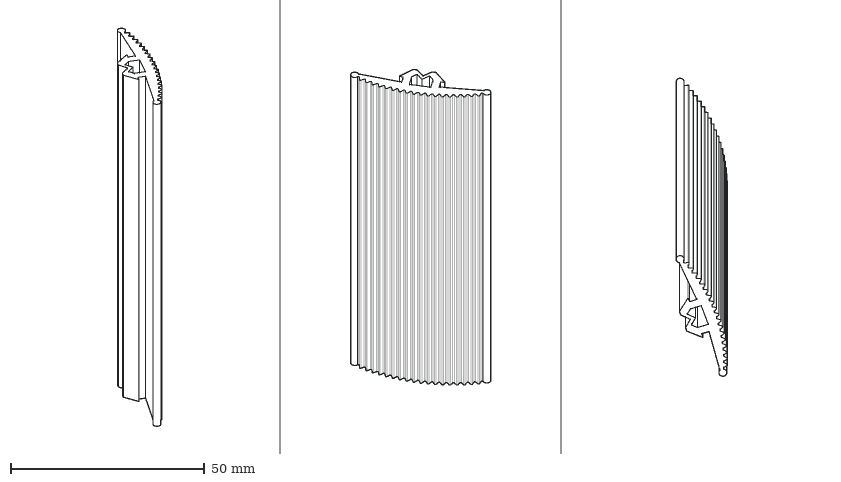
import cadquery as cq
import math

LENGTH = 100.0
WIDTH = 37.0
HEIGHT = 9.51

BEAD_RADIUS = 1.05
BEAD_Y = 5.06

CROWN_RADIUS = 48.2
TEETH_PER_SIDE = 9
TOOTH_PITCH = 1.89
TOOTH_FLANK_ANGLE = 55.5
TOOTH_ROUNDING = 0.25

WING_ROOT_Y = 5.43
WING_EDGE_Y = 4.51

STEM_OUTER_X = 4.95
HOOK_TOP_Y = 3.45
LEG_SLOPE_ANGLE = 47.7
HOOK_TIP_RADIUS = 0.1
FOOT_OUTER_X = 3.0
FOOT_INNER_X = 2.0
CAVITY_HALF_WIDTH = 2.85
CAVITY_TOP_Y = 5.95
CAVITY_SHOULDER_Y = 3.0
WEB_PEAK_Y = 3.4

BEAD_X = WIDTH / 2 - BEAD_RADIUS
WING_EDGE_X = BEAD_X - math.sqrt(BEAD_RADIUS**2 - (BEAD_Y - WING_EDGE_Y) ** 2)
PITCH_ANGLE = TOOTH_PITCH / CROWN_RADIUS
SHARP_DEPTH = TOOTH_PITCH / 2 * math.tan(math.radians(TOOTH_FLANK_ANGLE))
ROOT_RADIUS = CROWN_RADIUS - SHARP_DEPTH
TIP_HALF_ANGLE = math.atan2(
    ROOT_RADIUS * math.sin(PITCH_ANGLE / 2),
    CROWN_RADIUS - ROOT_RADIUS * math.cos(PITCH_ANGLE / 2),
)
ROUNDING_CENTER_RADIUS = CROWN_RADIUS - TOOTH_ROUNDING / math.sin(TIP_HALF_ANGLE)
CROWN_CENTER_Y = HEIGHT - TOOTH_ROUNDING - ROUNDING_CENTER_RADIUS * math.cos(PITCH_ANGLE / 2)
LEG_SLOPE = math.tan(math.radians(LEG_SLOPE_ANGLE))
HOOK_TIP_X = FOOT_OUTER_X + HOOK_TOP_Y / LEG_SLOPE
WEB_UNDER_Y = FOOT_INNER_X
CAVITY_CORNER_X = (WEB_PEAK_Y - CAVITY_SHOULDER_Y + CAVITY_HALF_WIDTH * LEG_SLOPE) / (1 + LEG_SLOPE)
CAVITY_CORNER_Y = WEB_PEAK_Y - CAVITY_CORNER_X


def mirrored(points):
    """Mirror points about X = 0, in reverse order so an outline can continue through them."""
    return [(-x, y) for x, y in reversed(points)]


def crown_outline():
    """Sharp zigzag of roots and tips, from the left edge to the right edge."""
    points = []
    for step in range(-2 * TEETH_PER_SIDE, 2 * TEETH_PER_SIDE + 1):
        radius = ROOT_RADIUS if step % 2 == 0 else CROWN_RADIUS
        angle = step * PITCH_ANGLE / 2
        points.append((radius * math.sin(angle), CROWN_CENTER_Y + radius * math.cos(angle)))
    return points


def round_edges(body, points, radius):
    """Round the lengthwise edges that pass through the given cross-section points."""
    edges = []
    for x, y in points:
        nearest = cq.selectors.NearestToPointSelector((x, y, LENGTH / 2))
        edges.append(body.edges("|Z").edges(nearest).val())
    return body.newObject(edges).fillet(radius)


def make_body():
    """Wings, serrated crown and the solid outline of the clip."""
    right_lower_side = [
        (BEAD_X, BEAD_Y + BEAD_RADIUS),
        (BEAD_X, BEAD_Y),
        (WING_EDGE_X, WING_EDGE_Y),
        (STEM_OUTER_X, WING_ROOT_Y),
        (STEM_OUTER_X, HOOK_TOP_Y),
        (HOOK_TIP_X, HOOK_TOP_Y),
        (FOOT_OUTER_X, 0),
        (FOOT_INNER_X, 0),
    ]
    lower_side = right_lower_side + [(0, WEB_UNDER_Y)] + mirrored(right_lower_side)
    crown = crown_outline()
    body = cq.Workplane("XY").polyline(crown + lower_side).close().extrude(LENGTH)
    body = round_edges(body, crown, TOOTH_ROUNDING)
    hook_tips = [(-HOOK_TIP_X, HOOK_TOP_Y), (HOOK_TIP_X, HOOK_TOP_Y)]
    return round_edges(body, hook_tips, HOOK_TIP_RADIUS)


def make_beads():
    """Round bead along both long edges."""
    centers = [(-BEAD_X, BEAD_Y), (BEAD_X, BEAD_Y)]
    return cq.Workplane("XY").pushPoints(centers).circle(BEAD_RADIUS).extrude(LENGTH)


def make_cavity():
    """Closed channel between the legs, above the web."""
    right_side = [
        (CAVITY_HALF_WIDTH, CAVITY_TOP_Y),
        (CAVITY_HALF_WIDTH, CAVITY_SHOULDER_Y),
        (CAVITY_CORNER_X, CAVITY_CORNER_Y),
    ]
    outline = right_side + [(0, WEB_PEAK_Y)] + mirrored(right_side)
    return cq.Workplane("XY").polyline(outline).close().extrude(LENGTH)


result = make_body().union(make_beads()).cut(make_cavity())